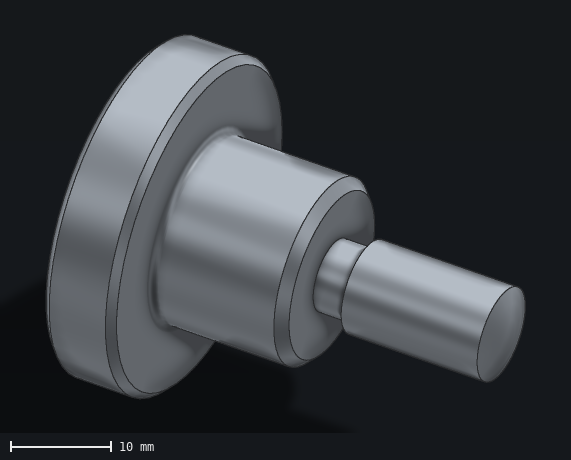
import cadquery as cq

total_length = 43.0

head_radius = 36.0 / 2
head_length = 8.0
head_chamfer = 0.8

hub_radius = 20.0 / 2
hub_end = 23.0
hub_chamfer = 1.1
hub_root_fillet = 0.8
selection_margin = 0.2

neck_radius = 7.8 / 2
neck_end = 26.8
stud_radius = 10.0 / 2
dome_height = 0.8


def cylinder(radius, start, end):
    """Solid cylinder on the X axis between two stations."""
    return cq.Workplane("YZ", origin=(start, 0, 0)).circle(radius).extrude(end - start)


def domed_stud():
    """Stud with a spherical end cap, revolved about the X axis."""
    sphere_radius = (stud_radius**2 + dome_height**2) / (2 * dome_height)
    mid_radius = stud_radius / 2
    mid_x = total_length - sphere_radius + (sphere_radius**2 - mid_radius**2) ** 0.5
    return (
        cq.Workplane("XY")
        .moveTo(neck_end, 0)
        .lineTo(neck_end, stud_radius)
        .lineTo(total_length - dome_height, stud_radius)
        .threePointArc((mid_x, mid_radius), (total_length, 0))
        .close()
        .revolve(360, (0, 0, 0), (1, 0, 0))
    )


head = cylinder(head_radius, 0, head_length).edges().chamfer(head_chamfer)
hub = cylinder(hub_radius, head_length, hub_end).faces(">X").edges().chamfer(hub_chamfer)

knob = head.union(hub)
hub_root = cq.selectors.BoxSelector(
    (head_length - selection_margin, -hub_radius - selection_margin, -hub_radius - selection_margin),
    (head_length + selection_margin, hub_radius + selection_margin, hub_radius + selection_margin),
    boundingbox=True,
)
knob = knob.edges(hub_root).fillet(hub_root_fillet)

neck = cylinder(neck_radius, hub_end, neck_end)
result = knob.union(neck).union(domed_stud())